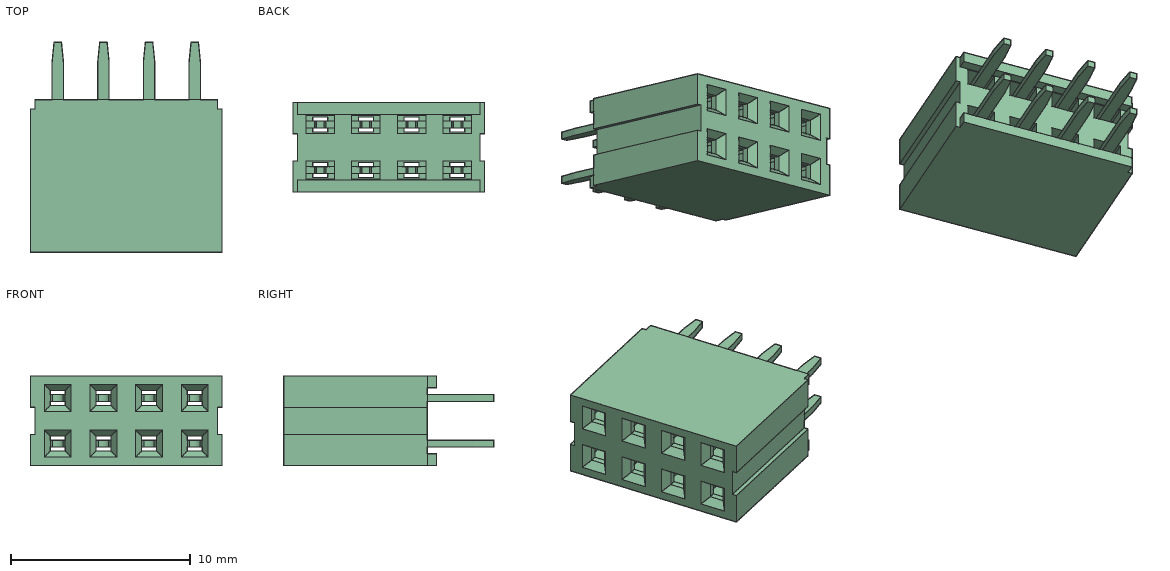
import cadquery as cq
import math

columns = 4
rows = 2
pitch = 2.54

total_length = 11.7
front_y = -total_length / 2
tail_tip_y = total_length / 2

housing_width = 10.66
housing_height = 5.0
waist_width = columns * pitch
waist_inset = (housing_width - waist_width) / 2
notch_height = 1.5
tail_projection = 3.19
rail_length = 0.51
rail_height = 0.67
rail_end_y = tail_tip_y - tail_projection
back_y = rail_end_y - rail_length

mouth_size = 1.5
throat_size = 0.82
funnel_depth = 0.45
throat_depth = 0.35
cavity_width = 1.59
cavity_height = 1.01
funnel_end_y = front_y + funnel_depth
cavity_start_y = funnel_end_y + throat_depth

contact_thickness = 0.4
tail_width = 0.64
tip_width = 0.42
taper_length = 1.11
arm_width = 0.29
arm_length = 3.51
fork_base_length = 1.05
flare_angle = 23.0
root_half_width = 0.28
root_radius = 0.42

terminal_places = [
    ((column - (columns - 1) / 2) * pitch, (row - (rows - 1) / 2) * pitch)
    for column in range(columns)
    for row in range(rows)
]


def box_between(width, height, start_y, end_y):
    """Box centred on the Y axis that runs from start_y to end_y."""
    return cq.Workplane("XY").box(width, end_y - start_y, height).translate((0, (start_y + end_y) / 2, 0))


def make_socket():
    """Empty space of one socket: funnel, square throat and contact cavity."""
    funnel = (
        cq.Workplane("XZ", origin=(0, front_y, 0))
        .rect(mouth_size, mouth_size)
        .workplane(offset=-funnel_depth)
        .rect(throat_size, throat_size)
        .loft(ruled=True)
    )
    throat = box_between(throat_size, throat_size, funnel_end_y, cavity_start_y)
    cavity = box_between(cavity_width, cavity_height, cavity_start_y, back_y)
    return funnel.union(throat).union(cavity)


def make_housing():
    """Block with side notches, two standoff rails on its back and a socket for each terminal."""
    body = box_between(housing_width, housing_height, front_y, back_y)

    notch = box_between(waist_inset, notch_height, front_y, back_y)
    for side in (-1, 1):
        body = body.cut(notch.translate((side * (housing_width - waist_inset) / 2, 0, 0)))

    rail = box_between(waist_width, rail_height, back_y, rail_end_y)
    for side in (-1, 1):
        body = body.union(rail.translate((0, 0, side * (housing_height - rail_height) / 2)))

    socket = make_socket()
    for x, z in terminal_places:
        body = body.cut(socket.translate((x, 0, z)))
    return body


def make_contact():
    """Fork contact centred on the Y axis."""
    fork_half = cavity_width / 2
    arm_inner = fork_half - arm_width
    flare_start_y = cavity_start_y + arm_length
    flare_end_y = flare_start_y + (arm_inner - root_half_width) / math.tan(math.radians(flare_angle))
    root_sag = root_radius - math.sqrt(root_radius**2 - root_half_width**2)
    fork_back_y = flare_start_y + fork_base_length
    taper_start_y = tail_tip_y - taper_length

    outline = (
        cq.Workplane("XY", origin=(0, 0, -contact_thickness / 2))
        .moveTo(-tip_width / 2, tail_tip_y)
        .lineTo(-tail_width / 2, taper_start_y)
        .lineTo(-tail_width / 2, fork_back_y)
        .lineTo(-fork_half, fork_back_y)
        .lineTo(-fork_half, cavity_start_y)
        .lineTo(-arm_inner, cavity_start_y)
        .lineTo(-arm_inner, flare_start_y)
        .lineTo(-root_half_width, flare_end_y)
        .threePointArc((0, flare_end_y + root_sag), (root_half_width, flare_end_y))
        .lineTo(arm_inner, flare_start_y)
        .lineTo(arm_inner, cavity_start_y)
        .lineTo(fork_half, cavity_start_y)
        .lineTo(fork_half, fork_back_y)
        .lineTo(tail_width / 2, fork_back_y)
        .lineTo(tail_width / 2, taper_start_y)
        .lineTo(tip_width / 2, tail_tip_y)
        .close()
    )
    return outline.extrude(contact_thickness)


housing = make_housing()
contact = make_contact()
contacts = [contact.translate((x, 0, z)) for x, z in terminal_places]

result = cq.Compound.makeCompound([housing.val(), *[placed.val() for placed in contacts]])